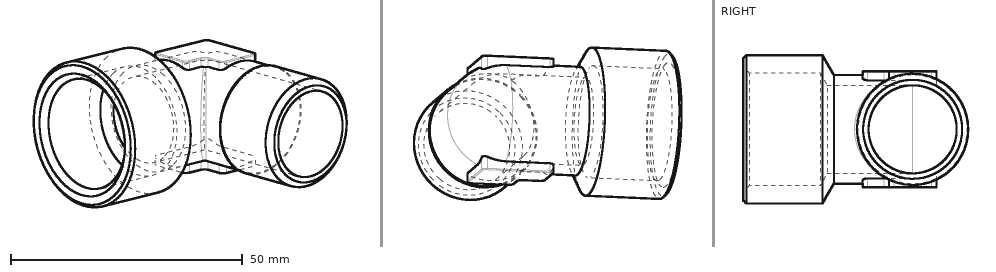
import cadquery as cq
import math

body_radius = 11.75
bore_radius = 9.5
crotch_fillet = 0.8

spigot_radius = 12.0
spigot_start = 17.2
spigot_end = 33.0
spigot_chamfer = 1.3

socket_radius = 16.0
socket_end = 36.55
socket_chamfer = 0.7
shoulder_start = 17.0
shoulder_angle = 30
shoulder_length = (socket_radius - body_radius) * math.tan(math.radians(shoulder_angle))

thread_radius = 12.1
mouth_radius = 13.48
mouth_depth = mouth_radius - thread_radius
thread_depth = 16.65
drill_angle = 30
drill_length = (thread_radius - bore_radius) * math.tan(math.radians(drill_angle))

pad_outer = 5.15
pad_arm_end = 10.8
pad_half_height = 12.55
pad_corner = 1.1
pad_edge_fillet = 0.25


def revolve_socket_side(profile):
    """Revolve (radius, distance) points about the socket axis."""
    points = [(radius, -distance) for radius, distance in profile]
    return cq.Workplane("XY").polyline(points).close().revolve(360, (0, 0), (0, 1))


def revolve_spigot_side(profile):
    """Revolve (radius, distance) points about the spigot axis."""
    points = [(distance, radius) for radius, distance in profile]
    return cq.Workplane("XY").polyline(points).close().revolve(360, (0, 0), (1, 0))


def make_outside():
    socket = revolve_socket_side([
        (0, 0),
        (body_radius, 0),
        (body_radius, shoulder_start),
        (socket_radius, shoulder_start + shoulder_length),
        (socket_radius, socket_end - socket_chamfer),
        (socket_radius - socket_chamfer, socket_end),
        (0, socket_end),
    ])
    spigot = revolve_spigot_side([
        (0, 0),
        (body_radius, 0),
        (body_radius, spigot_start),
        (spigot_radius, spigot_start),
        (spigot_radius, spigot_end - spigot_chamfer),
        (spigot_radius - spigot_chamfer, spigot_end),
        (0, spigot_end),
    ])
    return socket.union(spigot).union(cq.Workplane("XY").sphere(body_radius))


def make_pads():
    """L-shaped flats above and below the corner."""
    outline = [
        (-pad_outer, pad_outer),
        (pad_arm_end, pad_outer),
        (pad_arm_end, -pad_outer),
        (pad_outer, -pad_outer),
        (pad_outer, -pad_arm_end),
        (-pad_outer, -pad_arm_end),
    ]
    upper = cq.Workplane("XY").polyline(outline).close().extrude(pad_half_height)
    upper = upper.edges("|Z").fillet(pad_corner).faces(">Z").edges().fillet(pad_edge_fillet)
    return upper.union(upper.mirror("XY"))


def make_bore():
    drill_start = socket_end - thread_depth
    socket_bore = revolve_socket_side([
        (0, 0),
        (bore_radius, 0),
        (bore_radius, drill_start - drill_length),
        (thread_radius, drill_start),
        (thread_radius, socket_end - mouth_depth),
        (mouth_radius, socket_end),
        (0, socket_end),
    ])
    spigot_bore = cq.Workplane("YZ").circle(bore_radius).extrude(spigot_end)
    return socket_bore.union(spigot_bore).union(cq.Workplane("XY").sphere(bore_radius))


outside = make_outside().union(make_pads())
outside = outside.edges("%ELLIPSE").fillet(crotch_fillet)

result = outside.cut(make_bore())